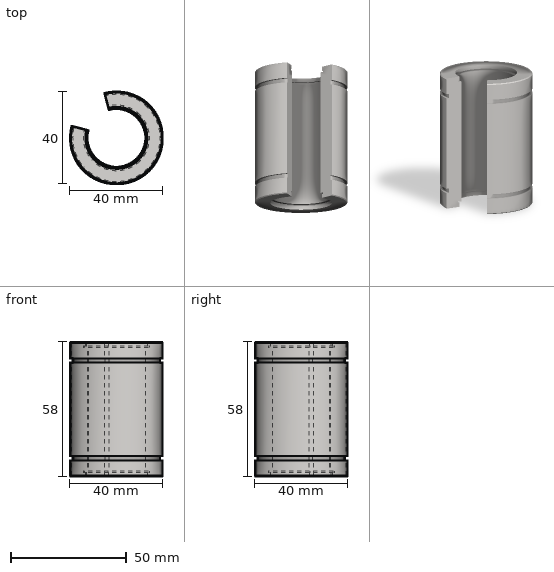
import cadquery as cq
import math

length = 58.0
outer_radius = 20.0
bore_radius = 12.5
edge_chamfer = 0.4

ring_groove_radius = 18.85
ring_groove_width = 1.9
ring_groove_inset = 6.95

mouth_radius = 13.35
mouth_depth = 1.7
seal_groove_radius = 14.2
seal_groove_width = 0.65

opening_angle = 60.0
opening_direction = 135.0


def disc(radius, bottom, height):
    return cq.Workplane("XY").workplane(offset=bottom).circle(radius).extrude(height)


def ring_groove(bottom):
    blank = disc(outer_radius, bottom, ring_groove_width)
    return blank.cut(disc(ring_groove_radius, bottom, ring_groove_width))


def opening_wedge():
    reach = 2 * outer_radius
    half_angle = opening_angle / 2
    corners = [(0, 0)]
    for angle in (opening_direction - half_angle, opening_direction + half_angle):
        direction = math.radians(angle)
        corners.append((reach * math.cos(direction), reach * math.sin(direction)))
    return cq.Workplane("XY").polyline(corners).close().extrude(length)


result = disc(outer_radius, 0, length).faces("<Z or >Z").edges().chamfer(edge_chamfer)
result = result.cut(disc(bore_radius, 0, length))

for bottom in (ring_groove_inset, length - ring_groove_inset - ring_groove_width):
    result = result.cut(ring_groove(bottom))

for bottom in (0, length - mouth_depth):
    result = result.cut(disc(mouth_radius, bottom, mouth_depth))

for bottom in (mouth_depth, length - mouth_depth - seal_groove_width):
    result = result.cut(disc(seal_groove_radius, bottom, seal_groove_width))

result = result.cut(opening_wedge())